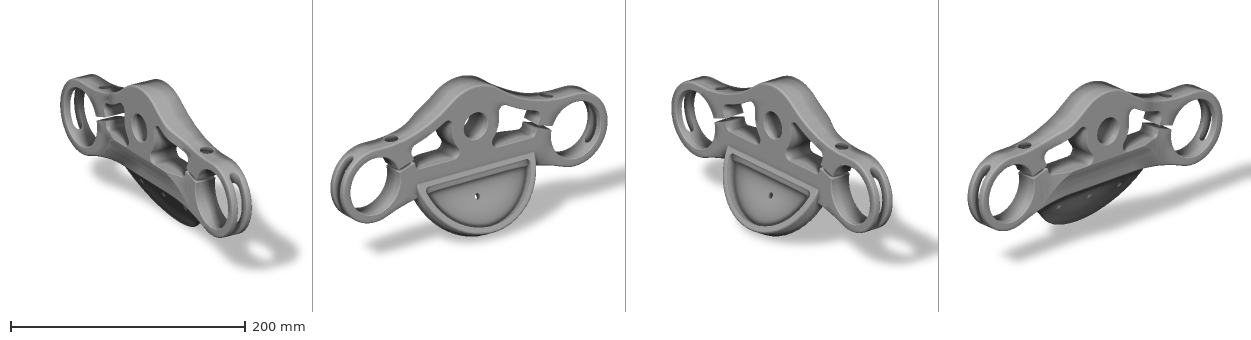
import cadquery as cq
import math


RING_X = 105.0
RING_Z = -29.7
HALF_WIDTH = 139
RING_R = HALF_WIDTH - RING_X
RING_BORE_R = 25.9
STEM_BORE_R = 12.0
CROWN_TOP_Z = 37.3
CROWN_R = 40.3
SHOULDER_R = 114.5
BOTTOM_Z = -50.3
BOTTOM_FLAT_X = 34.5
END_DEPTH = 20.3
CENTRE_DEPTH = 27.0
EDGE_ROUND = 2.0
HOLE_CHAMFER = 0.8
WINDOW_EDGE_ROUND = 0.7

STEP_ANGLE = math.radians(20)
STEP_CREST_R = 29.2
STEP_FOOT_R = 49.5
STEP_FOOT_X = 70.0
STEP_FOOT_Z = -51.7
STEP_FOOT_TOP_Z = -29.2
STEP_CREST_Z = -25.9

WINDOW_SHOULDER_WALL = 10.0
WINDOW_RING_R = 43.0
WINDOW_STEM_R = 24.5
WINDOW_BOTTOM_Z = -25.0
WINDOW_TOP_ROUND = 5.3
WINDOW_OUTER_ROUND = 6.0
WINDOW_SIDE_ROUND = 4.2
WINDOW_STEM_ROUND = 5.5

CLAMP_ANGLE = 17.5
SLIT_WIDTH = 3.5
SLIT_END_R = 47.3
BOLT_OFFSET = 33.0
BOLT_R = 3.0
BOLT_HEAD_R = 5.8
BOLT_SEAT = 20.5
BOLT_DEPTH = 14.0
RELIEF_WIDTH = 8.3
RELIEF_DEPTH = 16.7
RELIEF_ROUND = 1.5

PLATE_TILT = 27.5
PLATE_TOP_Z = -38.6
PLATE_LENGTH = 57.3
PLATE_R = 62.5
PLATE_THICKNESS = 15.5
POCKET_R = 56.7
POCKET_START = 4.5
POCKET_DEPTH = 9.7
POCKET_ROUND = 4.2
PLATE_HOLE_R = 2.8
PLATE_HOLE_PITCH = 35.0
PLATE_HOLE_POS = 24.0
SIDE_HOLE_DEPTH = 3.3

FLAT_TOLERANCE = 0.001
FIT_MARGIN = 0.3

CUT = 333.5


def towards(start, end, distance):
    """Point at a distance from start on the way to end."""
    ratio = distance / math.dist(start, end)
    return (start[0] + ratio * (end[0] - start[0]), start[1] + ratio * (end[1] - start[1]))


def crossing(first, first_r, second, second_r):
    """Crossing of two circles that lies to the left when going from the first centre to the second."""
    gap = math.dist(first, second)
    along = (gap**2 + first_r**2 - second_r**2) / (2 * gap)
    across = math.sqrt(first_r**2 - along**2)
    ux, uz = (second[0] - first[0]) / gap, (second[1] - first[1]) / gap
    return (first[0] + along * ux - across * uz, first[1] + along * uz + across * ux)


def arc(wire, start, end, centre):
    """Add the shorter arc around a centre."""
    bisector = (start[0] + end[0] - centre[0], start[1] + end[1] - centre[1])
    return wire.threePointArc(towards(centre, bisector, math.dist(start, centre)), end)


def wall_faces(solid):
    """Faces that run straight from front to back."""
    return solid.faces().filter(lambda face: abs(face.normalAt().y) < FLAT_TOLERANCE)


def lies_within(face, opening):
    """Whether a face stays inside the X and Z extent of an opening."""
    inner = face.BoundingBox()
    outer = opening.val().BoundingBox()
    across = outer.xmin - FIT_MARGIN < inner.xmin and inner.xmax < outer.xmax + FIT_MARGIN
    upright = outer.zmin - FIT_MARGIN < inner.zmin and inner.zmax < outer.zmax + FIT_MARGIN
    return across and upright


def both_sides(shape):
    """Shape joined with its mirror image across the middle plane."""
    return shape.union(shape.mirror("YZ"))


stem = (0, 0)
ring = (-RING_X, RING_Z)
crown = (0, CROWN_TOP_Z - CROWN_R)
shoulder = crossing(ring, RING_R + SHOULDER_R, crown, CROWN_R + SHOULDER_R)
bottom_run = RING_X - BOTTOM_FLAT_X
bottom_rise = RING_Z - BOTTOM_Z
bottom_r = (bottom_run**2 + bottom_rise**2 - RING_R**2) / (2 * (RING_R - bottom_rise))
bottom = (-BOTTOM_FLAT_X, BOTTOM_Z - bottom_r)


def outline_half():
    """Left half of the body outline at full depth."""
    top = (0, CROWN_TOP_Z)
    crown_end = towards(crown, shoulder, CROWN_R)
    ring_top = towards(ring, shoulder, RING_R)
    ring_side = (-HALF_WIDTH, RING_Z)
    ring_bottom = towards(ring, bottom, RING_R)
    flat_end = (-BOTTOM_FLAT_X, BOTTOM_Z)
    wire = cq.Workplane("XZ").moveTo(*top)
    wire = arc(wire, top, crown_end, crown)
    wire = arc(wire, crown_end, ring_top, shoulder)
    wire = arc(wire, ring_top, ring_side, ring)
    wire = arc(wire, ring_side, ring_bottom, ring)
    wire = arc(wire, ring_bottom, flat_end, bottom)
    return wire.lineTo(0, BOTTOM_Z).close().extrude(CENTRE_DEPTH)


def step_across():
    """Plan section of the left half: crest arc, straight slope and foot arc."""
    sine = math.sin(STEP_ANGLE)
    bow = 1 - math.cos(STEP_ANGLE)
    foot_run, foot_rise = STEP_FOOT_R * sine, STEP_FOOT_R * bow
    crest_run, crest_rise = STEP_CREST_R * sine, STEP_CREST_R * bow
    slope_rise = CENTRE_DEPTH - END_DEPTH - foot_rise - crest_rise
    slope_run = slope_rise / math.tan(STEP_ANGLE)
    foot = (-STEP_FOOT_X, -END_DEPTH)
    foot_end = (foot[0] + foot_run, foot[1] - foot_rise)
    crest_start = (foot_end[0] + slope_run, -CENTRE_DEPTH + crest_rise)
    crest = (crest_start[0] + crest_run, -CENTRE_DEPTH)
    wire = cq.Workplane("XY", origin=(0, 0, -CUT / 2)).moveTo(0, 0).lineTo(-CUT, 0).lineTo(-CUT, -END_DEPTH)
    wire = wire.lineTo(*foot)
    wire = arc(wire, foot, foot_end, (foot[0], foot[1] - STEP_FOOT_R))
    wire = wire.lineTo(*crest_start)
    wire = arc(wire, crest_start, crest, (crest[0], crest[1] + STEP_CREST_R))
    return wire.lineTo(0, -CENTRE_DEPTH).close().extrude(CUT)


def step_below():
    """Side section: a long foot arc and a short straight slope up to a sharp crest."""
    run = STEP_FOOT_TOP_Z - STEP_FOOT_Z
    rise = STEP_FOOT_R - math.sqrt(STEP_FOOT_R**2 - run**2)
    foot = (-END_DEPTH, STEP_FOOT_Z)
    foot_end = (-END_DEPTH - rise, STEP_FOOT_TOP_Z)
    wire = cq.Workplane("YZ", origin=(-CUT / 2, 0, 0)).moveTo(0, CUT).lineTo(0, -CUT).lineTo(-END_DEPTH, -CUT)
    wire = wire.lineTo(*foot)
    wire = arc(wire, foot, foot_end, (foot[0] - STEP_FOOT_R, foot[1]))
    wire = wire.lineTo(-CENTRE_DEPTH, STEP_CREST_Z)
    return wire.lineTo(-CENTRE_DEPTH, CUT).close().extrude(CUT)


def window():
    """Left window, bounded by arcs concentric with the shoulder, the ring and the stem."""
    shoulder_r = SHOULDER_R + WINDOW_SHOULDER_WALL

    top_reach = shoulder_r + WINDOW_TOP_ROUND
    top_x = -WINDOW_STEM_R - WINDOW_TOP_ROUND
    top = (top_x, shoulder[1] - math.sqrt(top_reach**2 - (top_x - shoulder[0])**2))
    outer = crossing(shoulder, shoulder_r + WINDOW_OUTER_ROUND, ring, WINDOW_RING_R + WINDOW_OUTER_ROUND)
    side_reach = WINDOW_RING_R + WINDOW_SIDE_ROUND
    side_z = WINDOW_BOTTOM_Z + WINDOW_SIDE_ROUND
    side = (ring[0] + math.sqrt(side_reach**2 - (side_z - ring[1])**2), side_z)
    inner_reach = WINDOW_STEM_R + WINDOW_STEM_ROUND
    inner_z = WINDOW_BOTTOM_Z + WINDOW_STEM_ROUND
    inner = (-math.sqrt(inner_reach**2 - inner_z**2), inner_z)

    stem_start = (-WINDOW_STEM_R, 0)
    stem_end = towards(inner, stem, WINDOW_STEM_ROUND)
    bottom_inner = (inner[0], WINDOW_BOTTOM_Z)
    bottom_side = (side[0], WINDOW_BOTTOM_Z)
    ring_low = towards(side, ring, WINDOW_SIDE_ROUND)
    ring_high = towards(outer, ring, WINDOW_OUTER_ROUND)
    shoulder_outer = towards(outer, shoulder, WINDOW_OUTER_ROUND)
    shoulder_top = towards(top, shoulder, WINDOW_TOP_ROUND)
    stem_top = (-WINDOW_STEM_R, top[1])

    wire = cq.Workplane("XZ", origin=(0, CUT / 2, 0)).moveTo(*stem_top).lineTo(*stem_start)
    wire = arc(wire, stem_start, stem_end, stem)
    wire = arc(wire, stem_end, bottom_inner, inner)
    wire = wire.lineTo(*bottom_side)
    wire = arc(wire, bottom_side, ring_low, side)
    wire = arc(wire, ring_low, ring_high, ring)
    wire = arc(wire, ring_high, shoulder_outer, outer)
    wire = arc(wire, shoulder_outer, shoulder_top, shoulder)
    wire = arc(wire, shoulder_top, stem_top, top)
    return wire.close().extrude(CUT)


def chamfered_bore(x, z, radius, front_y):
    """Through bore with a chamfer at the back face and at the front face."""
    wide = radius + HOLE_CHAMFER
    section = cq.Workplane("XY", origin=(x, 0, z)).polyline([
        (0, 0), (wide, 0), (radius, -HOLE_CHAMFER), (radius, front_y + HOLE_CHAMFER), (wide, front_y), (0, front_y),
    ])
    return section.close().revolve(360, (0, 0), (0, 1))


def relief_slot():
    """Slot through the outer side of the left ring, with a rounded floor."""
    ring_side = -HALF_WIDTH
    half = RELIEF_WIDTH / 2
    floor_x = ring_side + RELIEF_DEPTH - half
    slot = cq.Workplane("XY", origin=(0, -END_DEPTH / 2, -CUT / 2))
    slot = slot.moveTo(ring_side - half, half).lineTo(floor_x, half)
    slot = slot.threePointArc((floor_x + half, 0), (floor_x, -half)).lineTo(ring_side - half, -half)
    return slot.close().extrude(CUT)


def clamp():
    """Slit from the left ring into the window, with a counterbored bolt hole square to it."""
    slit = cq.Workplane("XY").box(SLIT_END_R, CUT, SLIT_WIDTH, centered=(False, True, True))
    bolt_line = cq.Workplane("XY", origin=(BOLT_OFFSET, -END_DEPTH / 2, -BOLT_DEPTH))
    bolt = bolt_line.circle(BOLT_R).extrude(BOLT_DEPTH + BOLT_SEAT)
    head = bolt_line.workplane(offset=BOLT_DEPTH + BOLT_SEAT).circle(BOLT_HEAD_R).extrude(2 * RING_R)
    cutter = slit.union(bolt).union(head)
    return cutter.rotate((0, 0, 0), (0, 1, 0), -CLAMP_ANGLE).translate((-RING_X, 0, RING_Z))


def plate():
    """Round plate with a pocket in its back; built lying flat, then tilted into place."""
    centre_y = PLATE_R - PLATE_LENGTH
    upper_half = cq.Workplane("XY").box(CUT, CUT, CUT, centered=(True, False, True))
    disc = cq.Workplane("XY", origin=(0, centre_y, 0)).circle(PLATE_R).extrude(PLATE_THICKNESS)
    disc = disc.edges("not(|Z)").fillet(EDGE_ROUND).cut(upper_half)

    pocket = cq.Workplane("XY", origin=(0, centre_y, 0)).circle(POCKET_R).extrude(POCKET_DEPTH)
    pocket = pocket.cut(upper_half.translate((0, -POCKET_START, 0)))
    disc = disc.cut(pocket.edges("|Z").fillet(POCKET_ROUND))

    front = cq.Workplane("XY", origin=(0, -PLATE_HOLE_POS, PLATE_THICKNESS))
    side_holes = front.pushPoints([(-PLATE_HOLE_PITCH, 0), (PLATE_HOLE_PITCH, 0)])
    disc = disc.cut(side_holes.circle(PLATE_HOLE_R).extrude(-SIDE_HOLE_DEPTH))
    disc = disc.cut(front.circle(PLATE_HOLE_R).extrude(-PLATE_THICKNESS))
    return disc.rotate((0, 0, 0), (1, 0, 0), 90 + PLATE_TILT).translate((0, 0, PLATE_TOP_Z))


body = both_sides(outline_half()).intersect(both_sides(step_across())).intersect(step_below())
body = wall_faces(body).edges("not(|Y)").fillet(EDGE_ROUND)

body = body.cut(both_sides(relief_slot()))
mouth_x = HALF_WIDTH - RELIEF_DEPTH - RELIEF_ROUND
mouth_half = RELIEF_WIDTH / 2 + RELIEF_ROUND
for near, far in ((mouth_x, CUT), (-CUT, -mouth_x)):
    mouth = cq.selectors.BoxSelector(
        (near, -END_DEPTH / 2 - mouth_half, -CUT), (far, -END_DEPTH / 2 + mouth_half, CUT))
    body = body.edges(mouth).edges("not(|Z)").fillet(RELIEF_ROUND)

for opening in (window(), window().mirror("YZ")):
    body = body.cut(opening)
    sides = wall_faces(body).filter(lambda face: lies_within(face, opening))
    body = sides.edges("not(|Y)").fillet(WINDOW_EDGE_ROUND)

body = body.union(plate())
body = body.cut(chamfered_bore(0, 0, STEM_BORE_R, -CENTRE_DEPTH))
body = body.cut(both_sides(chamfered_bore(-RING_X, RING_Z, RING_BORE_R, -END_DEPTH)))
result = body.cut(both_sides(clamp()))